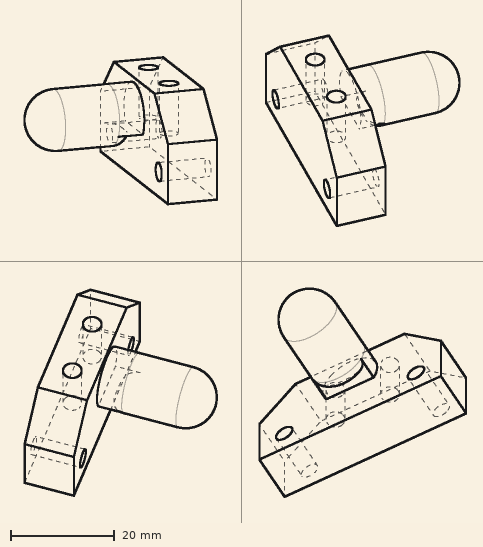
import cadquery as cq
import math

plate_width = 40.0
plate_thickness = 10.0
plate_height = 20.0
corner_cut = 8.0

pin_diameter = 12.0
pin_radius = pin_diameter / 2
pin_axis_height = 13.0
pin_length = 22.0
neck_length = 5.0
heel_radius = 2.8
neck_flat_height = 10.0

hole_diameter = 3.6
through_hole_spacing = 29.0
through_hole_height = 5.0
top_hole_spacing = 12.0
top_hole_depth = 10.0


def make_plate():
    """Upright plate with both upper corners cut at 45 degrees."""
    half_width = plate_width / 2
    shoulder_height = plate_height - corner_cut
    outline = [
        (-half_width, 0),
        (half_width, 0),
        (half_width, shoulder_height),
        (half_width - corner_cut, plate_height),
        (corner_cut - half_width, plate_height),
        (-half_width, shoulder_height),
    ]
    return cq.Workplane("XZ").polyline(outline).close().extrude(plate_thickness)


def make_pin():
    """Round pin along Y with a hemispherical nose, a flat-bottomed neck and a rounded heel."""
    plate_front = -plate_thickness
    body_start = plate_front - neck_length
    heel_face = body_start + heel_radius
    nose_start = plate_front - pin_length + pin_radius
    nose_tip = nose_start - pin_radius

    arc_reach = math.sqrt(0.5)
    heel_middle = (
        pin_radius - heel_radius + heel_radius * arc_reach,
        body_start + heel_radius * arc_reach,
    )
    nose_middle = (pin_radius * arc_reach, nose_start - pin_radius * arc_reach)
    body = (
        cq.Workplane("XY", origin=(0, 0, pin_axis_height))
        .moveTo(0, heel_face)
        .lineTo(pin_radius - heel_radius, heel_face)
        .threePointArc(heel_middle, (pin_radius, body_start))
        .lineTo(pin_radius, nose_start)
        .threePointArc(nose_middle, (0, nose_tip))
        .close()
        .revolve(360, (0, 0, 0), (0, 1, 0))
    )

    below_flat = (
        cq.Workplane("XY", origin=(0, plate_front - neck_length / 2, 0))
        .rect(pin_diameter, neck_length)
        .extrude(neck_flat_height)
    )
    neck = (
        cq.Workplane("XZ", origin=(0, plate_front, pin_axis_height))
        .circle(pin_radius)
        .extrude(neck_length)
        .cut(below_flat)
    )
    return body.union(neck)


def through_holes():
    """Two holes through the plate thickness, near the lower corners."""
    return (
        cq.Workplane("XZ", origin=(0, 0, through_hole_height))
        .rarray(through_hole_spacing, 1, 2, 1)
        .circle(hole_diameter / 2)
        .extrude(plate_thickness)
    )


def top_holes():
    """Two flat-bottomed blind holes drilled down from the top edge."""
    return (
        cq.Workplane("XY", origin=(0, -plate_thickness / 2, plate_height))
        .rarray(top_hole_spacing, 1, 2, 1)
        .circle(hole_diameter / 2)
        .extrude(-top_hole_depth)
    )


result = make_plate().union(make_pin()).cut(through_holes()).cut(top_holes())